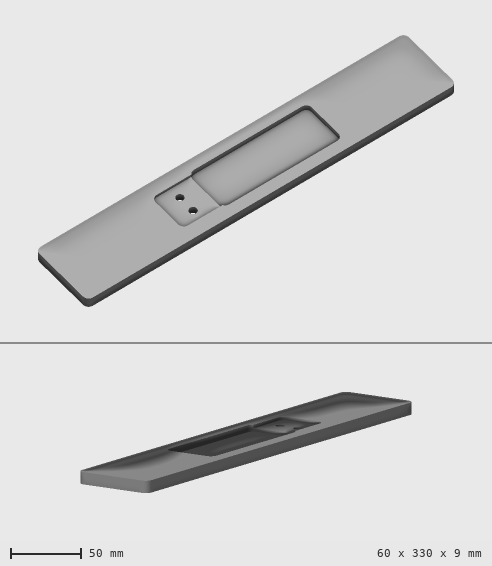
import cadquery as cq

plate_width = 60.0
plate_length = 330.0
plate_thickness = 9.0
corner_radius = 5.0

recess_length = 141.2
main_length = 106.3
main_width = 40.5
main_depth = 5.0
shelf_width = 36.0
shelf_depth = 2.5
recess_radius = 5.0

hole_diameter = 6.5
hole_spacing = 15.2

recess_end = recess_length / 2
main_center_y = recess_end - main_length / 2
step_y = recess_end - main_length
shelf_center_y = (step_y - recess_end) / 2


def rounded_pocket(width, y_min, y_max, depth):
    """Round-cornered cutter reaching down from the top face."""
    return (
        cq.Workplane("XY", origin=(0, (y_min + y_max) / 2, plate_thickness))
        .rect(width, y_max - y_min)
        .extrude(-depth)
        .edges("|Z")
        .fillet(recess_radius)
    )


plate = (
    cq.Workplane("XY")
    .rect(plate_width, plate_length)
    .extrude(plate_thickness)
    .edges("|Z")
    .fillet(corner_radius)
)

main_pocket = rounded_pocket(main_width, step_y, recess_end, main_depth)

shelf_pocket = rounded_pocket(shelf_width, -recess_end, main_center_y, shelf_depth)

screw_holes = (
    cq.Workplane("XY", origin=(0, shelf_center_y, 0))
    .pushPoints([(-hole_spacing / 2, 0), (hole_spacing / 2, 0)])
    .circle(hole_diameter / 2)
    .extrude(plate_thickness)
)

result = plate.cut(main_pocket).cut(shelf_pocket).cut(screw_holes)